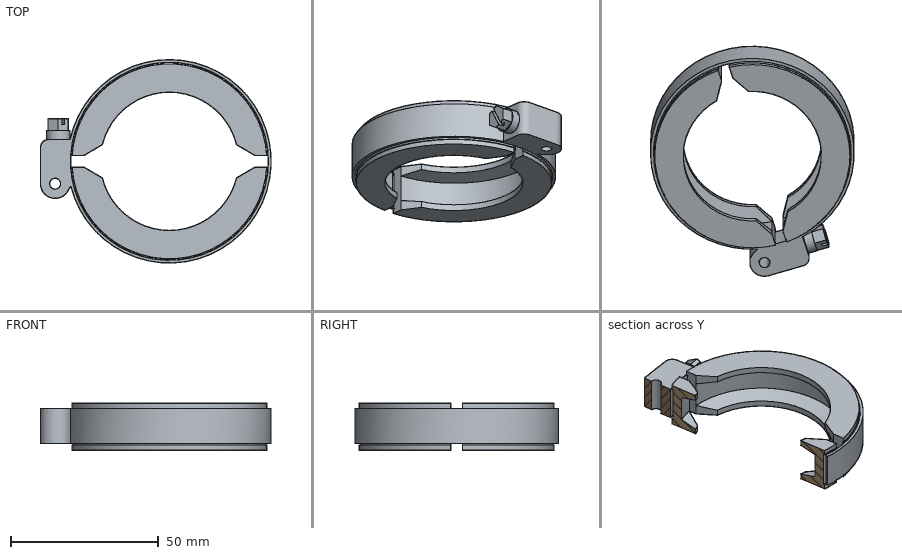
import cadquery as cq
import math

jaw_height = 16.0
jaw_radius = 33.1
bore_radius = 23.4
half_gap = 1.95
bevel_top_y = 5.6
channel_corner_x = 28.9
channel_radius = math.hypot(channel_corner_x, half_gap)
lip_edge = 2.1
lip_root = 3.5
rim_height = 1.8
groove_radius = 32.7

band_radius = 34.5
band_inner_radius = 33.45
band_height = 11.95
band_top = jaw_height / 2 - rim_height
band_bottom = band_top - band_height

lug_left = -43.7
lug_end_radius = 5.0
lug_hole_x = lug_left + lug_end_radius
lug_hole_y = -7.6
lug_hole_diameter = 3.6
lug_top_y = 7.4
lug_corner_radius = 2.8
lug_flank_angle = 30
lug_inner_x = -32.8

screw_x = -37.7
screw_z = 0.1
collar_diameter = 8.05
collar_length = 3.05
hex_length = 4.0
slot_width = 1.0
slot_depth = 1.95
slot_angle = 60


def make_jaw():
    """Jaw on the +Y side: a revolved section cut to the gap and the bevelled tips."""
    top = jaw_height / 2
    groove_bottom = rim_height - top
    section = [
        (bore_radius, top),
        (jaw_radius, top),
        (jaw_radius, band_top),
        (groove_radius, band_top),
        (groove_radius, groove_bottom),
        (jaw_radius, groove_bottom),
        (jaw_radius, -top),
        (bore_radius, -top),
        (bore_radius, lip_edge - top),
        (channel_radius, lip_root - top),
        (channel_radius, top - lip_root),
        (bore_radius, top - lip_edge),
    ]
    ring = cq.Workplane("XZ").polyline(section).close().revolve(360, (0, 0), (0, 1))

    bevel_top_x = math.sqrt(bore_radius**2 - bevel_top_y**2)
    kept_area = [
        (jaw_radius, half_gap),
        (channel_corner_x, half_gap),
        (bevel_top_x, bevel_top_y),
        (-bevel_top_x, bevel_top_y),
        (-channel_corner_x, half_gap),
        (-jaw_radius, half_gap),
        (-jaw_radius, jaw_radius),
        (jaw_radius, jaw_radius),
    ]
    keeper = cq.Workplane("XY").polyline(kept_area).close().extrude(top, both=True)
    return ring.intersect(keeper)


def make_lug():
    """Lug plate with a rounded end, a straight flank into the band and a pin hole."""
    flank = math.radians(lug_flank_angle)
    flank_x = lug_hole_x + lug_end_radius * math.cos(flank)
    flank_y = lug_hole_y - lug_end_radius * math.sin(flank)
    flank_end_y = flank_y + (lug_inner_x - flank_x) / math.tan(flank)
    diagonal = lug_corner_radius * (1 - math.sqrt(0.5))
    plate = (
        cq.Workplane("XY", origin=(0, 0, band_bottom))
        .moveTo(lug_left, lug_hole_y)
        .threePointArc((lug_hole_x, lug_hole_y - lug_end_radius), (flank_x, flank_y))
        .lineTo(lug_inner_x, flank_end_y)
        .lineTo(lug_inner_x, lug_top_y)
        .lineTo(lug_left + lug_corner_radius, lug_top_y)
        .threePointArc(
            (lug_left + diagonal, lug_top_y - diagonal),
            (lug_left, lug_top_y - lug_corner_radius),
        )
        .close()
        .extrude(band_height)
    )
    hole = (
        cq.Workplane("XY", origin=(lug_hole_x, lug_hole_y, band_bottom))
        .circle(lug_hole_diameter / 2)
        .extrude(band_height)
    )
    return plate.cut(hole)


def make_screw_head():
    """Round collar and slotted hexagon whose corners point up and down."""
    base = cq.Plane(origin=(screw_x, lug_top_y, screw_z), xDir=(-1, 0, 0), normal=(0, 1, 0))
    collar = cq.Workplane(base).circle(collar_diameter / 2).extrude(collar_length)
    hexagon = (
        cq.Workplane(base)
        .workplane(offset=collar_length)
        .transformed(rotate=(0, 0, 90))
        .polygon(6, collar_diameter)
        .extrude(hex_length)
    )
    slot = (
        cq.Workplane(base)
        .workplane(offset=collar_length + hex_length - slot_depth)
        .transformed(rotate=(0, 0, 180 - slot_angle))
        .rect(2 * collar_diameter, slot_width)
        .extrude(slot_depth)
    )
    return collar.union(hexagon.cut(slot))


def make_band():
    """Ring with its lug and screw head; the bore stays clear of the jaws."""
    outside = cq.Workplane("XY", origin=(0, 0, band_bottom)).circle(band_radius).extrude(band_height)
    bore = cq.Workplane("XY", origin=(0, 0, band_bottom)).circle(band_inner_radius).extrude(band_height)
    return outside.union(make_lug()).union(make_screw_head()).cut(bore)


jaw = make_jaw()
jaws = [jaw.rotate((0, 0, 0), (0, 0, 1), angle) for angle in (0, 180)]
band = make_band()

result = cq.Compound.makeCompound([
    *[half.solids().val() for half in jaws],
    band.solids().val(),
])